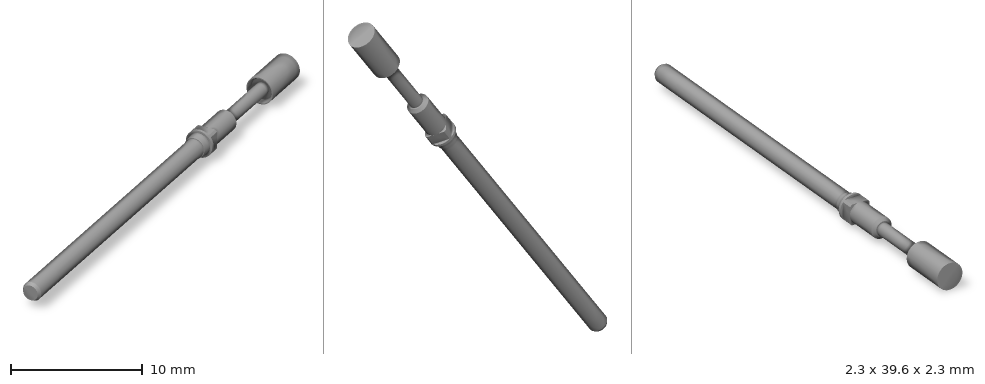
import cadquery as cq

total_length = 39.6
tail_chamfer_length = 0.28
tail_length = 3.0
boss_start = 25.35
collar_start = 26.05
collar_thickness = 0.25
square_length = 0.95
shoulder_end = 30.45
shoulder_chamfer_length = 0.25
head_length = 4.2

head_diameter = 2.3
post_diameter = 1.1
shoulder_diameter = 1.82
square_width = 1.8
collar_diameter = head_diameter
boss_small_diameter = 1.75
boss_large_diameter = 1.9
rod_diameter = 1.6
tail_tip_diameter = 1.25

recess_mouth_diameter = 2.15
recess_floor_diameter = 1.82
recess_depth = 0.4

collar_end = collar_start + collar_thickness
square_end = collar_end + square_length
shoulder_chamfer_start = shoulder_end - shoulder_chamfer_length
shoulder_nose_diameter = shoulder_diameter - 2 * shoulder_chamfer_length
head_start = total_length - head_length
recess_floor = head_start + recess_depth


def round_section(start, end, start_diameter, end_diameter=None):
    """A cylinder or cone on the Y axis between two stations; the whole part is centred on the origin."""
    start_radius = start_diameter / 2
    end_radius = (end_diameter or start_diameter) / 2
    start_y = start - total_length / 2
    end_y = end - total_length / 2
    return (
        cq.Workplane("XY")
        .polyline([(0, start_y), (start_radius, start_y), (end_radius, end_y), (0, end_y)])
        .close()
        .revolve(360, (0, 0, 0), (0, 1, 0))
    )


def make_head():
    """Cylindrical head with the recess that the post enters."""
    head = round_section(head_start, total_length, head_diameter)
    recess = round_section(head_start, recess_floor, recess_mouth_diameter, recess_floor_diameter)
    return head.cut(recess)


def make_shoulder():
    """Thick length between the post and the square, chamfered at the post."""
    cylinder = round_section(square_end, shoulder_chamfer_start, shoulder_diameter)
    nose = round_section(
        shoulder_chamfer_start, shoulder_end, shoulder_diameter, shoulder_nose_diameter
    )
    return cylinder.union(nose)


def make_square():
    """Wrench square whose corners are rounded to the collar diameter."""
    blank = round_section(collar_end, square_end, collar_diameter)
    flats = cq.Workplane("XY").box(square_width, total_length, square_width)
    return blank.intersect(flats)


def make_collar():
    """Thin collar with a slightly tapered boss leading down to the rod."""
    collar = round_section(collar_start, collar_end, collar_diameter)
    boss = round_section(boss_start, collar_start, boss_small_diameter, boss_large_diameter)
    return collar.union(boss)


def make_probe():
    """Main body: rod, collar, square, shoulder, post and head in one piece."""
    rod = round_section(tail_length, collar_start, rod_diameter)
    post = round_section(shoulder_end, recess_floor, post_diameter)
    return (
        rod.union(make_collar())
        .union(make_square())
        .union(make_shoulder())
        .union(post)
        .union(make_head())
    )


def make_tail():
    """End piece of the rod's diameter, chamfered at its tip and butted against the rod."""
    cylinder = round_section(tail_chamfer_length, tail_length, rod_diameter)
    tip = round_section(0, tail_chamfer_length, tail_tip_diameter, rod_diameter)
    return cylinder.union(tip)


probe = make_probe()
tail = make_tail()

result = cq.Compound.makeCompound([probe.val(), tail.val()])